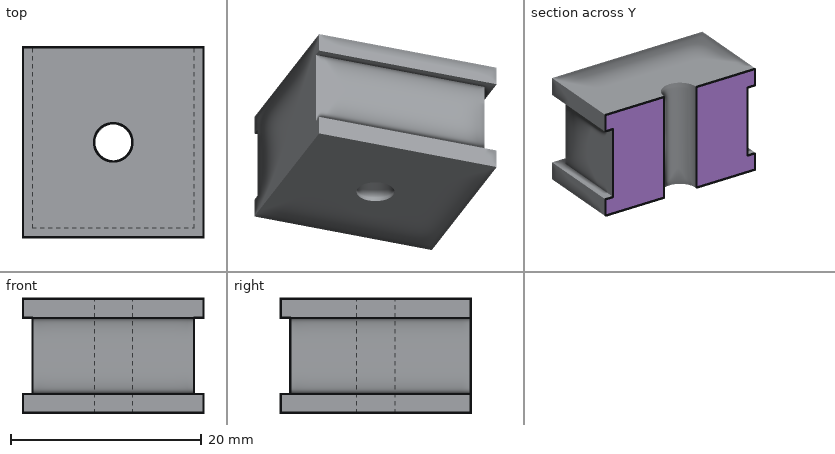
import cadquery as cq

width = 19.0
depth = 20.0
height = 12.0

flange_thickness = 2.0
groove_depth = 1.0
hole_diameter = 4.0

core_width = width - 2 * groove_depth
core_depth = depth - groove_depth


def flange(bottom_z):
    """Full-size plate with its underside at bottom_z."""
    return cq.Workplane("XY", origin=(0, 0, bottom_z)).box(
        width, depth, flange_thickness, centered=(True, True, False)
    )


def core():
    """Narrower block joining the two flanges."""
    return cq.Workplane("XY", origin=(0, groove_depth / 2, 0)).box(
        core_width, core_depth, height, centered=(True, True, False)
    )


def through_hole():
    """Round bore through the full height, centred on the flanges."""
    return cq.Workplane("XY").circle(hole_diameter / 2).extrude(height)


body = core().union(flange(0)).union(flange(height - flange_thickness))
result = body.cut(through_hole())